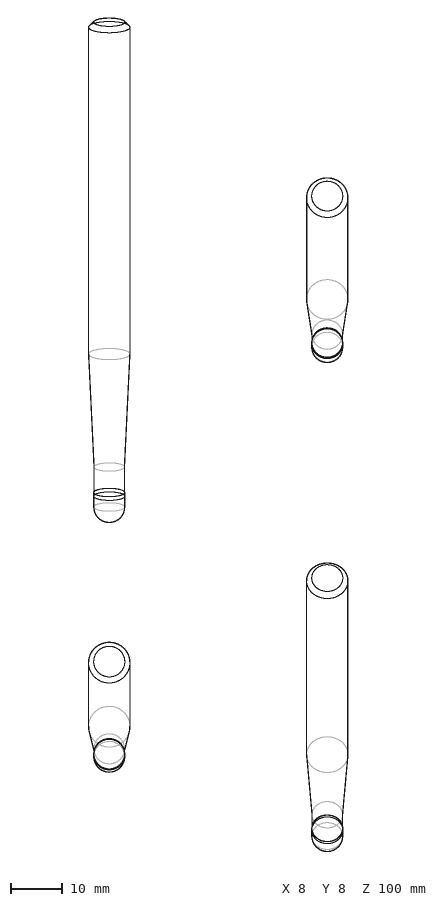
import cadquery as cq
import math

total_length = 100.0
shank_diameter = 8.0
shank_end_chamfer = 1.0
cutter_diameter = 6.0
cutter_length = 5.17
neck_diameter = 5.9
collar_length = 0.73
neck_end_height = 11.0
taper_end_height = 33.6

shank_radius = shank_diameter / 2
cutter_radius = cutter_diameter / 2
neck_radius = neck_diameter / 2
neck_start_height = cutter_length + collar_length


def make_cutter():
    """Ball-nosed cutting end, with the tip of the ball at the origin."""
    arc_middle_offset = cutter_radius * math.sin(math.radians(45))
    return (
        cq.Workplane("XZ")
        .moveTo(0, 0)
        .threePointArc(
            (arc_middle_offset, cutter_radius - arc_middle_offset),
            (cutter_radius, cutter_radius),
        )
        .lineTo(cutter_radius, cutter_length)
        .lineTo(0, cutter_length)
        .close()
        .revolve(360, (0, 0), (0, 1))
    )


def make_shank():
    """Collar flush with the cutter, slimmer neck, taper and cylindrical shank with a chamfered top end."""
    return (
        cq.Workplane("XZ")
        .moveTo(0, cutter_length)
        .lineTo(cutter_radius, cutter_length)
        .lineTo(cutter_radius, neck_start_height)
        .lineTo(neck_radius, neck_start_height)
        .lineTo(neck_radius, neck_end_height)
        .lineTo(shank_radius, taper_end_height)
        .lineTo(shank_radius, total_length - shank_end_chamfer)
        .lineTo(shank_radius - shank_end_chamfer, total_length)
        .lineTo(0, total_length)
        .close()
        .revolve(360, (0, 0), (0, 1))
    )


cutter = make_cutter()
shank = make_shank()

result = cq.Compound.makeCompound([cutter.val(), shank.val()])